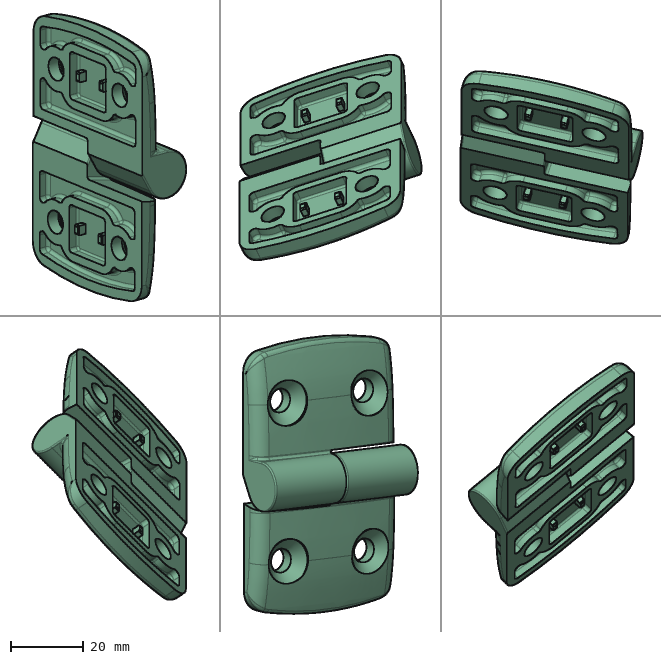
import cadquery as cq
import math


knuckle_start = 0.05
knuckle_end = 24.1
knuckle_radius = 7.0
axis_height = 8.9
knuckle_edge_round = 0.4
flank_foot_z = 1.5
root_round = 0.8

selection_margin = 0.05

leaf_width = 47.9
leaf_middle = knuckle_end - leaf_width / 2
leaf_top = 38.5
end_arc_radius = 102.0
corner_radius = 6.0
leaf_start_z = 5.0

crown_height = 8.0
crown_radius = 210.0
side_round = 4.2
bend_z = 22.6
flat_arc_radius = 250.0
flat_start_z = 8.0
steep_arc_radius = 72.0
steep_arc_angle = math.radians(20)
end_round = 1.5
section_depth = crown_height + 2.0

relief_foot_z = 6.0
relief_angle = math.radians(12.7)
relief_corner_round = 0.8

hole_z = 22.55
hole_spacing = 28.0
hole_diameter = 6.7
countersink_diameter = 13.2
countersink_angle = 90
countersink_depth = (countersink_diameter - hole_diameter) / 2 / math.tan(math.radians(countersink_angle / 2))
countersink_rim_height = 7.0

pocket_depth = 3.0
rim_width = 3.0
pocket_base_z = 9.05
pocket_corner_round = 1.4
pocket_floor_round = 0.97
pocket_tip_round = 1.0
screw_boss_radius = 6.5
middle_boss_half_height = 9.55
middle_boss_corner_radius = 6.0
middle_boss_flat = 12.14

window_width = 15.8
window_height = 14.0
window_corner_round = 1.1
window_floor_round = 0.6
tab_spacing = 10.3
tab_width = 1.7
tab_height = 2.8
tab_length = 2.6
tab_end_chamfer = 0.4
tab_side_chamfer = 0.3


def outline(inset, base_z):
    """Closed outline of the leaf, moved inwards by inset, with its lower edge at base_z (X-Z sketch)."""
    half_width = leaf_width / 2 - inset
    end_radius = end_arc_radius - inset
    top = leaf_top - inset
    edge_z = top - end_radius + math.sqrt(end_radius**2 - half_width**2)
    return (
        cq.Sketch()
        .segment((-half_width, base_z), (half_width, base_z))
        .segment((half_width, edge_z))
        .arc((0, top), (-half_width, edge_z))
        .close()
        .assemble()
    )


def from_face(sketch, depth):
    """Solid that rises from the mounting face by depth over an X-Z sketch."""
    face_plane = cq.Plane(origin=(leaf_middle, 0, 0), xDir=(1, 0, 0), normal=(0, -1, 0))
    return cq.Workplane(face_plane).placeSketch(sketch).extrude(-depth)


def make_crown():
    """Crowned cross-section swept up the leaf along a curve that falls away towards its end."""
    half_width = leaf_width / 2
    edge_drop = crown_radius - math.sqrt(crown_radius**2 - half_width**2)
    section = (
        cq.Sketch()
        .segment((-half_width, -section_depth), (half_width, -section_depth))
        .segment((half_width, -edge_drop))
        .arc((0, 0), (-half_width, -edge_drop))
        .close()
        .assemble()
        .vertices(">Y")
        .fillet(side_round)
    )
    run = bend_z - flat_start_z
    bend_angle = math.asin(run / flat_arc_radius)

    def on_flat_arc(angle):
        return (
            crown_height - flat_arc_radius * (1 - math.cos(angle)),
            flat_start_z + flat_arc_radius * math.sin(angle),
        )

    bend_y, _ = on_flat_arc(bend_angle)
    center_y = bend_y - steep_arc_radius * math.cos(bend_angle)
    center_z = bend_z - steep_arc_radius * math.sin(bend_angle)

    def on_steep_arc(angle):
        return (
            center_y + steep_arc_radius * math.cos(angle),
            center_z + steep_arc_radius * math.sin(angle),
        )

    end_angle = bend_angle + steep_arc_angle
    path = (
        cq.Workplane("YZ", origin=(leaf_middle, 0, 0))
        .moveTo(crown_height, leaf_start_z)
        .lineTo(crown_height, flat_start_z)
        .threePointArc(on_flat_arc(bend_angle / 2), on_flat_arc(bend_angle))
        .threePointArc(on_steep_arc((bend_angle + end_angle) / 2), on_steep_arc(end_angle))
    )
    start = cq.Workplane("XY", origin=(leaf_middle, crown_height, leaf_start_z))
    return start.placeSketch(section).sweep(path)


def make_plate():
    """Leaf without its knuckle: the crown trimmed to the leaf outline, with its free end rounded."""
    shape = outline(0, leaf_start_z).vertices(">Y").fillet(corner_radius)
    blank = from_face(shape, section_depth).intersect(make_crown())
    return blank.faces(">Z").edges(">Y").fillet(end_round)


def make_relief():
    """Sloped cutter that clears the other leaf's knuckle, on the half of the leaf without one."""
    rise = section_depth * math.tan(relief_angle)
    return (
        cq.Workplane("YZ", origin=(knuckle_start, 0, 0))
        .moveTo(0, 0)
        .lineTo(0, relief_foot_z)
        .lineTo(section_depth, relief_foot_z + rise)
        .lineTo(section_depth, 0)
        .close()
        .extrude(-leaf_width)
        .faces(">X")
        .edges(">Z")
        .fillet(relief_corner_round)
    )


def make_knuckle():
    """Barrel with one flank square to the mounting face and one that runs in tangentially."""
    knuckle_length = knuckle_end - knuckle_start
    foot_distance = math.hypot(axis_height, flank_foot_z)
    foot_angle = math.atan2(flank_foot_z, -axis_height)
    tangent_angle = foot_angle + math.acos(knuckle_radius / foot_distance)
    tangent_y = axis_height + knuckle_radius * math.cos(tangent_angle)
    tangent_z = knuckle_radius * math.sin(tangent_angle)
    end_plane = cq.Workplane("YZ", origin=(knuckle_start, 0, 0))
    barrel = end_plane.center(axis_height, 0).circle(knuckle_radius).extrude(knuckle_length)
    foot = (
        cq.Workplane("YZ", origin=(knuckle_start, 0, 0))
        .moveTo(axis_height, 0)
        .lineTo(tangent_y, tangent_z)
        .lineTo(0, flank_foot_z)
        .lineTo(0, knuckle_radius)
        .lineTo(axis_height, knuckle_radius)
        .close()
        .extrude(knuckle_length)
    )
    rim = cq.selectors.BoxSelector(
        (-1, knuckle_edge_round, -leaf_top), (knuckle_end + 1, 2 * leaf_top, leaf_top)
    )
    knuckle = barrel.union(foot)
    return knuckle.faces("<X or >X").edges(rim).fillet(knuckle_edge_round)


def on_circle(center, radius, angle):
    """Point on a circle at an angle from its first axis."""
    return (center[0] + radius * math.cos(angle), center[1] + radius * math.sin(angle))


def land_quarter():
    """One quarter of the land that joins the screw bosses and the middle boss (X-Z sketch)."""
    side = leaf_width / 2 - rim_width
    screw_x = hole_spacing / 2

    reach = screw_boss_radius + pocket_corner_round
    corner_x = side - pocket_corner_round
    corner_angle = math.acos((corner_x - screw_x) / reach)
    corner_z = reach * math.sin(corner_angle)

    middle_x = middle_boss_flat / 2
    middle_z = middle_boss_half_height - middle_boss_corner_radius
    gap = math.hypot(screw_x - middle_x, middle_z)
    along = (gap**2 + screw_boss_radius**2 - middle_boss_corner_radius**2) / (2 * gap)
    meet_angle = math.atan2(middle_z, middle_x - screw_x) - math.acos(along / screw_boss_radius)

    screw = (screw_x, 0)
    corner = (corner_x, corner_z)
    middle = (middle_x, middle_z)
    meet = on_circle(screw, screw_boss_radius, meet_angle)
    middle_angle = math.atan2(meet[1] - middle_z, meet[0] - middle_x)
    quarter = (
        cq.Sketch()
        .segment((0, 0), (side, 0))
        .segment((side, corner_z))
        .arc(
            on_circle(corner, pocket_corner_round, (corner_angle - math.pi) / 2),
            on_circle(screw, screw_boss_radius, corner_angle),
        )
        .arc(on_circle(screw, screw_boss_radius, (corner_angle + meet_angle) / 2), meet)
        .arc(
            on_circle(middle, middle_boss_corner_radius, (middle_angle + math.pi / 2) / 2),
            (middle_x, middle_boss_half_height),
        )
        .segment((0, middle_boss_half_height))
        .close()
        .assemble()
    )
    return quarter.vertices(cq.selectors.NearestToPointSelector((*meet, 0))).fillet(pocket_tip_round)


def make_pockets():
    """The two pockets above and below the land, with rounded floors."""
    recess = outline(rim_width, pocket_base_z).vertices().fillet(pocket_corner_round)
    quarter = from_face(land_quarter(), pocket_depth)
    half = quarter.union(quarter.mirror("YZ", (leaf_middle, 0, 0)))
    whole = half.union(half.mirror("XY")).translate((0, 0, hole_z))
    pockets = from_face(recess, pocket_depth).cut(whole)
    return pockets.faces(">Y").edges().fillet(pocket_floor_round)


def hole_plane():
    """Workplane in the mounting face, centred between the screw holes."""
    plane = cq.Plane(origin=(leaf_middle, 0, hole_z), xDir=(1, 0, 0), normal=(0, -1, 0))
    return cq.Workplane(plane)


def make_window():
    """Rectangular pocket in the middle of the land, less the two tabs that stand on its floor."""
    window = (
        hole_plane()
        .rect(window_width, window_height)
        .extrude(-pocket_depth)
        .edges("|Y")
        .fillet(window_corner_round)
        .faces(">Y")
        .edges()
        .fillet(window_floor_round)
    )
    for center_x in (-tab_spacing / 2, tab_spacing / 2):
        tab = (
            hole_plane()
            .workplane(offset=-pocket_depth)
            .center(center_x, 0)
            .rect(tab_width, tab_height)
            .extrude(tab_length)
            .faces("<Y")
            .edges("|X")
            .chamfer(tab_end_chamfer)
            .faces("<Y")
            .edges("<X")
            .chamfer(tab_side_chamfer)
        )
        window = window.cut(tab)
    return window


def make_screw_holes():
    """Clearance holes countersunk from the crowned back."""
    centers = [(-hole_spacing / 2, 0), (hole_spacing / 2, 0)]
    drills = hole_plane().pushPoints(centers).circle(hole_diameter / 2).extrude(-section_depth)
    rims = (
        hole_plane()
        .workplane(offset=-countersink_rim_height)
        .pushPoints(centers)
        .circle(countersink_diameter / 2)
    )
    countersinks = rims.extrude(countersink_depth, taper=countersink_angle / 2)
    clearance = (
        hole_plane()
        .workplane(offset=-countersink_rim_height)
        .pushPoints(centers)
        .circle(countersink_diameter / 2)
        .extrude(countersink_rim_height - section_depth)
    )
    return drills.union(countersinks).union(clearance)


def make_leaf():
    """Complete leaf: plate and knuckle blended together, then relieved, pocketed and drilled."""
    root = cq.selectors.BoxSelector(
        (knuckle_end / 4, side_round, knuckle_radius - selection_margin),
        (3 * knuckle_end / 4, crown_height, knuckle_radius + selection_margin),
    )
    leaf = make_plate().union(make_knuckle()).edges(root).fillet(root_round)
    for cutter in (make_relief(), make_pockets(), make_window(), make_screw_holes()):
        leaf = leaf.cut(cutter)
    return leaf


upper_leaf = make_leaf()
lower_leaf = upper_leaf.rotate((0, 0, 0), (0, 1, 0), 180)

result = cq.Compound.makeCompound([*upper_leaf.vals(), *lower_leaf.vals()])